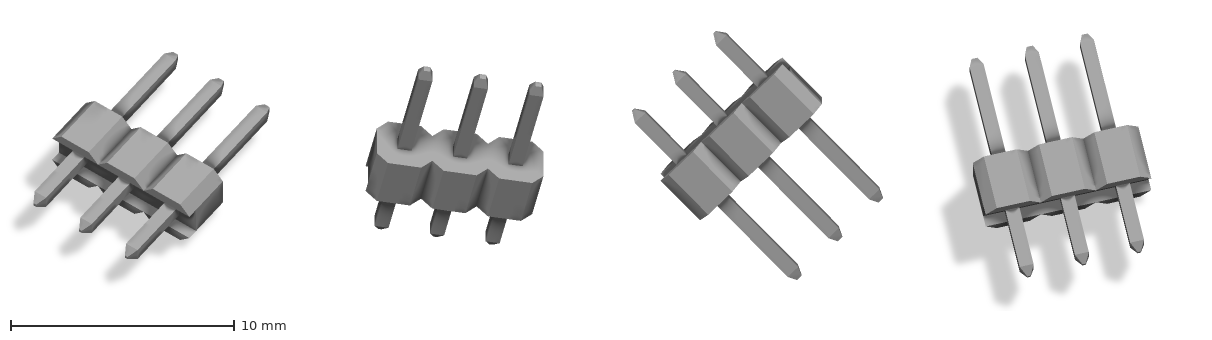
import cadquery as cq

POSITION_COUNT = 3
PITCH = 2.54

CELL_LENGTH = 2.54
CORNER_CUT = 0.51
POCKET_DEPTH = 0.51
POCKET_HEIGHT = PITCH - 2 * CORNER_CUT

PIN_WIDTH = 0.64
FRONT_REACH = 3.05
REAR_REACH = 5.08
TIP_LENGTH = 0.43
FRONT_TIP_WIDTH = 0.15
REAR_TIP_WIDTH = 0.28

OVERALL_LENGTH = FRONT_REACH + CELL_LENGTH + REAR_REACH
FRONT_END_Y = -OVERALL_LENGTH / 2
REAR_END_Y = OVERALL_LENGTH / 2
HOUSING_FRONT_Y = FRONT_END_Y + FRONT_REACH
HOUSING_REAR_Y = HOUSING_FRONT_Y + CELL_LENGTH
POCKET_FLOOR_Y = HOUSING_FRONT_Y + POCKET_DEPTH


def block_along_y(width, height, start_y, end_y):
    """Box centred on the Y axis, reaching from start_y to end_y."""
    middle_y = (start_y + end_y) / 2
    return cq.Workplane("XY").box(width, end_y - start_y, height).translate((0, middle_y, 0))


def tapered_tip(base_y, end_y, end_width):
    """Square frustum that narrows from the pin section at base_y to end_width at end_y."""
    return (
        cq.Workplane("XZ", origin=(0, base_y, 0))
        .rect(PIN_WIDTH, PIN_WIDTH)
        .workplane(offset=base_y - end_y)
        .rect(end_width, end_width)
        .loft(ruled=True)
    )


def make_housing():
    """Octagonal cell with a full-width pocket at the front."""
    cell = block_along_y(PITCH, PITCH, HOUSING_FRONT_Y, HOUSING_REAR_Y).edges("|Y").chamfer(CORNER_CUT)
    pocket = block_along_y(PITCH, POCKET_HEIGHT, HOUSING_FRONT_Y, POCKET_FLOOR_Y)
    return cell.cut(pocket)


def make_front_pin():
    """Pin standing on the pocket floor, with a sharp tip."""
    tip_base_y = FRONT_END_Y + TIP_LENGTH
    shank = block_along_y(PIN_WIDTH, PIN_WIDTH, tip_base_y, POCKET_FLOOR_Y)
    return shank.union(tapered_tip(tip_base_y, FRONT_END_Y, FRONT_TIP_WIDTH))


def make_rear_pin():
    """Pin standing on the rear face of the housing, with a blunter tip."""
    tip_base_y = REAR_END_Y - TIP_LENGTH
    shank = block_along_y(PIN_WIDTH, PIN_WIDTH, HOUSING_REAR_Y, tip_base_y)
    return shank.union(tapered_tip(tip_base_y, REAR_END_Y, REAR_TIP_WIDTH))


bodies = []
for index in range(POSITION_COUNT):
    position_x = (index - (POSITION_COUNT - 1) / 2) * PITCH
    for make_body in (make_housing, make_front_pin, make_rear_pin):
        bodies.append(make_body().translate((position_x, 0, 0)).solids().val())

result = cq.Compound.makeCompound(bodies)